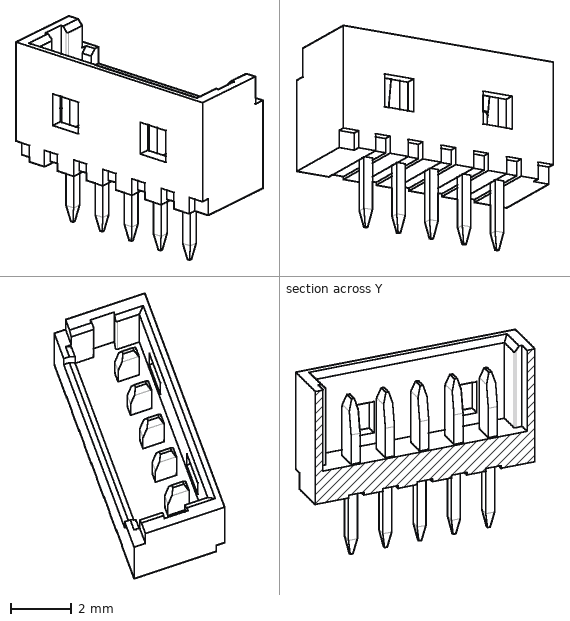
import cadquery as cq


length = 8.0
depth = 3.2
height = 4.2
rear_wall = 0.4
front_wall = 0.4
end_wall = 0.575
floor_top = 1.2
lead_in_depth = 0.2
end_lead_in_depth = 0.18

rear_shoulder_top = 3.2
rear_opening_top = 2.6
rear_opening_width = 6.1

keyway_end_wall = 0.29
keyway_centre_y = 1.61
keyway_mouth_width = 0.76
keyway_base_width = 0.84
keyway_edge_radius = 0.05

window_width = 1.1
window_bottom = 1.6
window_top = 2.75
window_spacing = 3.75

pin_count = 5
pin_pitch = 1.25
pin_width = 0.33
tip_width = 0.1
contact_front_y = 0.785
contact_rear_y = 1.535
contact_top = 3.5
contact_tip_front_y = 0.935
contact_tip_rear_y = 1.32
side_taper_height = 0.4
front_taper_height = 0.5
rear_taper_height = 1.2
tail_length = 2.3
tail_tip_height = 0.6

relief_width = 0.55
relief_clearance = 0.1
notch_height = 0.6
notch_depth = 0.3
corner_notch_width = 0.58

half_length = length / 2
cavity_length = length - 2 * end_wall
cavity_rear_y = depth - rear_wall
pin_positions = [(i - (pin_count - 1) / 2) * pin_pitch for i in range(pin_count)]


def box(x_range, y_range, z_range):
    """Block spanning the given (low, high) limits."""
    size = [high - low for low, high in (x_range, y_range, z_range)]
    corner = (x_range[0], y_range[0], z_range[0])
    return cq.Workplane("XY").box(*size, centered=False).translate(corner)


def centred_box(centre_x, width, y_range, z_range):
    """Block of the given width, centred on centre_x."""
    return box((centre_x - width / 2, centre_x + width / 2), y_range, z_range)


def taper(centre_y, base_z, base_size, tip_z, tip_size):
    """Four-sided taper between two rectangles centred on x = 0."""
    return (
        cq.Workplane("XY", origin=(0, centre_y, base_z))
        .rect(*base_size)
        .workplane(offset=tip_z - base_z)
        .rect(*tip_size)
        .loft(ruled=True)
    )


def lead_in():
    """Flared top of the cavity along the front and end walls, stopping at the rear wall."""
    centre_y = cavity_rear_y
    base_size = (cavity_length, 2 * (centre_y - front_wall))
    top_size = (base_size[0] + 2 * end_lead_in_depth, base_size[1] + 2 * lead_in_depth)
    flare = taper(centre_y, height - lead_in_depth, base_size, height, top_size)
    return flare.intersect(centred_box(0, length, (0, cavity_rear_y), (0, height)))


def rear_lead_in(width, wall_top):
    """Chamfer on the inner edge of a stretch of rear wall with the given top."""
    return (
        cq.Workplane("YZ")
        .moveTo(cavity_rear_y, wall_top)
        .line(lead_in_depth, 0)
        .line(-lead_in_depth, -lead_in_depth)
        .close()
        .extrude(width / 2, both=True)
    )


def keyways():
    """Facing keyways in the two end walls, as one cutter that also spans the cavity."""
    mouth_x = half_length - end_wall
    base_x = half_length - keyway_end_wall
    half_mouth = keyway_mouth_width / 2
    half_base = keyway_base_width / 2
    return (
        cq.Workplane("XY", origin=(0, keyway_centre_y, floor_top))
        .polyline([
            (-base_x, -half_base), (-mouth_x, -half_mouth), (mouth_x, -half_mouth), (base_x, -half_base),
            (base_x, half_base), (mouth_x, half_mouth), (-mouth_x, half_mouth), (-base_x, half_base),
        ])
        .close()
        .extrude(height - floor_top)
    )


def keyway_edges():
    """Selector for the vertical edges where the keyways meet the cavity."""
    mouth_x = half_length - end_wall
    half_mouth = keyway_mouth_width / 2
    reach = keyway_edge_radius / 2
    selector = None
    for x in (-mouth_x, mouth_x):
        for y in (keyway_centre_y - half_mouth, keyway_centre_y + half_mouth):
            near = cq.selectors.BoxSelector(
                (x - reach, y - reach, floor_top), (x + reach, y + reach, height)
            )
            selector = near if selector is None else selector + near
    return selector


def cavity():
    """Open-topped cavity with rounded keyway mouths and flared walls."""
    well = centred_box(0, cavity_length, (front_wall, cavity_rear_y), (floor_top, height))
    return well.union(keyways()).edges(keyway_edges()).fillet(keyway_edge_radius).union(lead_in())


def housing():
    body = centred_box(0, length, (0, depth), (0, height)).cut(cavity())

    rear_y = (cavity_rear_y, depth)
    body = body.cut(centred_box(0, length, rear_y, (rear_shoulder_top, height)))
    body = body.cut(rear_lead_in(cavity_length, rear_shoulder_top))
    body = body.cut(centred_box(0, rear_opening_width, rear_y, (rear_opening_top, height)))
    body = body.cut(rear_lead_in(rear_opening_width, rear_opening_top))

    for x in (-window_spacing / 2, window_spacing / 2):
        body = body.cut(centred_box(x, window_width, (0, front_wall), (window_bottom, window_top)))

    for x in pin_positions:
        body = body.cut(centred_box(x, relief_width, (0, depth), (0, relief_clearance)))
        body = body.cut(centred_box(x, relief_width, (0, notch_depth), (0, notch_height)))

    for side in (-1, 1):
        centre_x = side * (half_length - corner_notch_width / 2)
        body = body.cut(centred_box(centre_x, corner_notch_width, (0, notch_depth), (0, notch_height)))
    return body


def contact():
    """Wide blade above the floor, thinned at the top by front, rear and side tapers."""
    side_profile = (
        cq.Workplane("YZ")
        .polyline([
            (contact_front_y, floor_top),
            (contact_rear_y, floor_top),
            (contact_rear_y, contact_top - rear_taper_height),
            (contact_tip_rear_y, contact_top),
            (contact_tip_front_y, contact_top),
            (contact_front_y, contact_top - front_taper_height),
        ])
        .close()
        .extrude(pin_width / 2, both=True)
    )
    shoulder = contact_top - side_taper_height
    front_profile = (
        cq.Workplane("XZ")
        .polyline([
            (-pin_width / 2, floor_top),
            (pin_width / 2, floor_top),
            (pin_width / 2, shoulder),
            (tip_width / 2, contact_top),
            (-tip_width / 2, contact_top),
            (-pin_width / 2, shoulder),
        ])
        .close()
        .extrude(-depth)
    )
    return side_profile.intersect(front_profile)


def tail():
    """Square solder tail, centred under the contact and tapered at its lower end."""
    centre_y = (contact_front_y + contact_rear_y) / 2
    shoulder = tail_tip_height - tail_length
    tail_y = (centre_y - pin_width / 2, centre_y + pin_width / 2)
    shank = centred_box(0, pin_width, tail_y, (shoulder, floor_top))
    tip = taper(centre_y, shoulder, (pin_width, pin_width), -tail_length, (tip_width, tip_width))
    return shank.union(tip)


result = housing()
pin = contact().union(tail())
for pin_x in pin_positions:
    result = result.union(pin.translate((pin_x, 0, 0)))